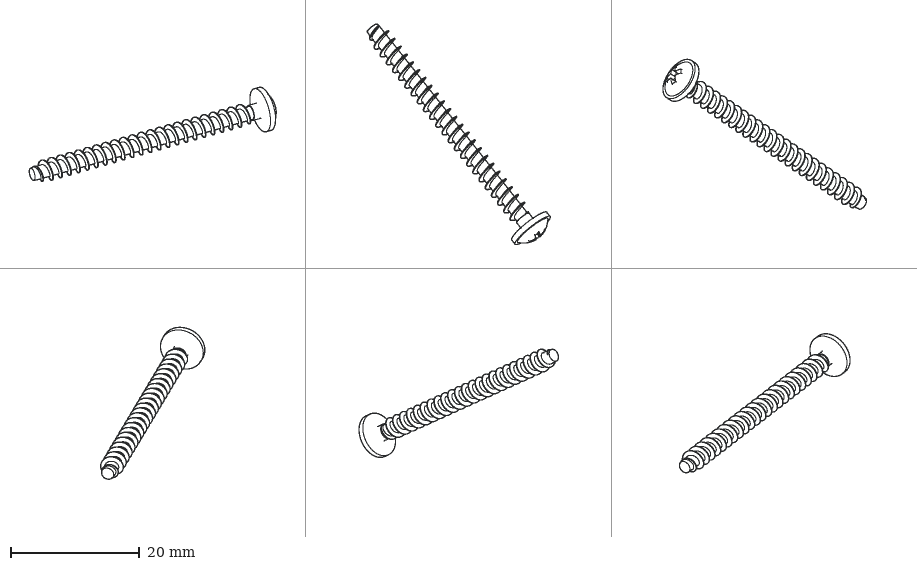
import cadquery as cq
import math


overall_length = 42.3
flange_radius = 7.0 / 2
flange_thickness = 0.9
dome_base_radius = 3.0
dome_radius = 3.8

recess_span = 3.05
recess_slot_width = 0.85
recess_depth = 1.25

neck_radius = 1.23
neck_length = 1.65
neck_fillet = 0.35
core_radius = 1.05
tip_radius = 2.0 / 2
tip_taper_length = 0.6

thread_radius = 1.75
crest_width = 0.13
root_width = 0.5
root_radius = 0.95
sunk_crest_radius = 1.0
first_crest_depth = 2.62
last_crest_depth = 38.85
turns_between_crests = 23
thread_start = 1.35
full_thread_start = 2.62
full_thread_end = 38.0
thread_end = 39.68
points_per_stretch = 24

dome_height = dome_radius - math.sqrt(dome_radius**2 - dome_base_radius**2)
corner_radius = recess_slot_width / math.sqrt(2)
corner_drop = dome_radius - math.sqrt(dome_radius**2 - corner_radius**2)
head_height = flange_thickness + dome_height
shank_length = overall_length - head_height + corner_drop
pitch = (last_crest_depth - first_crest_depth) / turns_between_crests


def make_blank():
    """Head, neck, core and tapered tip as one turned body."""
    dome_center = head_height - dome_radius
    dome_mid = dome_base_radius / 2
    dome_mid_height = dome_center + math.sqrt(dome_radius**2 - dome_mid**2)
    fillet_mid = neck_fillet * (1 - math.sqrt(0.5))
    return (
        cq.Workplane("XZ")
        .moveTo(0, -shank_length)
        .lineTo(tip_radius, -shank_length)
        .lineTo(core_radius, tip_taper_length - shank_length)
        .lineTo(core_radius, -neck_length)
        .lineTo(neck_radius, -neck_length)
        .lineTo(neck_radius, -neck_fillet)
        .threePointArc(
            (neck_radius + fillet_mid, -fillet_mid),
            (neck_radius + neck_fillet, 0),
        )
        .lineTo(flange_radius, 0)
        .lineTo(flange_radius, flange_thickness)
        .lineTo(dome_base_radius, flange_thickness)
        .threePointArc((dome_mid, dome_mid_height), (0, head_height))
        .close()
        .revolve(360, (0, 0, 0), (0, 1, 0))
    )


def make_recess():
    """Two crossed slots sunk into the dome from its top."""
    floor = cq.Workplane("XY").workplane(offset=head_height - recess_depth)
    slot = floor.rect(recess_span, recess_slot_width).extrude(recess_depth)
    return slot.union(slot.rotate((0, 0, 0), (0, 0, 1), 90))


def crest_radius_at(depth):
    """Crest radius at a depth: full in the middle, fading linearly at both ends."""
    fade_in = (depth - thread_start) / (full_thread_start - thread_start)
    fade_out = (thread_end - depth) / (thread_end - full_thread_end)
    fade = min(fade_in, 1, fade_out)
    return sunk_crest_radius + fade * (thread_radius - sunk_crest_radius)


def make_rail(start_depth, end_depth, is_crest, side):
    """One edge of a ridge stretch; side is -1 below its mid-line and +1 above."""
    points = []
    for step in range(points_per_stretch + 1):
        depth = start_depth + (end_depth - start_depth) * step / points_per_stretch
        angle = 2 * math.pi * (first_crest_depth - depth) / pitch
        radius = crest_radius_at(depth) if is_crest else root_radius
        width = crest_width if is_crest else root_width
        height = -depth + side * width / 2
        points.append(cq.Vector(radius * math.cos(angle), radius * math.sin(angle), height))
    return cq.Edge.makeSpline(points)


def make_end_face(rails, position):
    """Flat face closing the ridge at the start (0) or the end (1) of its rails."""
    corners = [rail.positionAt(position) for rail in rails]
    return cq.Face.makeFromWires(cq.Wire.makePolygon(corners, close=True))


def make_thread():
    """Right-hand ridge with a trapezoid section whose crest fades out at both ends."""
    stretch_count = math.ceil((thread_end - thread_start) / pitch)
    stretch_depth = (thread_end - thread_start) / stretch_count
    corners = [(False, -1), (True, -1), (True, 1), (False, 1)]
    faces = []
    for index in range(stretch_count):
        start_depth = thread_start + index * stretch_depth
        end_depth = start_depth + stretch_depth
        rails = [make_rail(start_depth, end_depth, *corner) for corner in corners]
        for side in range(len(rails)):
            faces.append(cq.Face.makeRuledSurface(rails[side - 1], rails[side]))
        if index == 0:
            faces.append(make_end_face(rails, 0))
    faces.append(make_end_face(rails, 1))
    return cq.Workplane(obj=cq.Solid.makeSolid(cq.Shell.makeShell(faces)))


screw = make_blank().cut(make_recess()).union(make_thread())
result = screw.rotate((0, 0, 0), (1, 0, 0), -90)